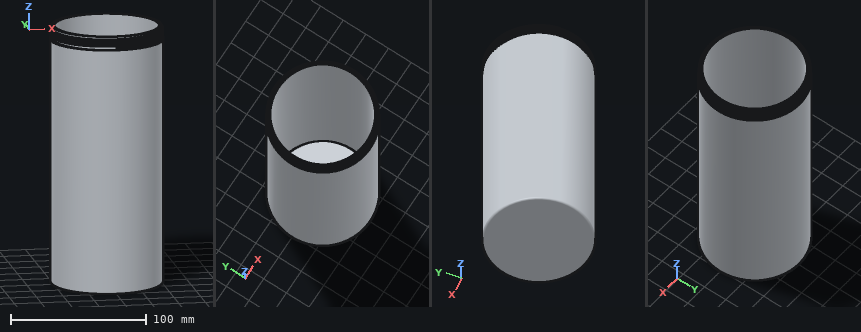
import cadquery as cq

height = 195.0
body_diameter = 84.0
bore_diameter = 77.6
bottom_round = 1.5
body_radius = body_diameter / 2
bore_radius = bore_diameter / 2
floor_thickness = body_radius - bore_radius

neck_height = 10.0
neck_radius = 40.4
shoulder_z = height - neck_height

thread_turns = 3.75
thread_rise = 7.8
thread_pitch = thread_rise / thread_turns
thread_start_z = shoulder_z + 1.2
thread_start_angle = -90
thread_crest_radius = 41.5
thread_root_width = 1.4
thread_crest_width = 0.4
thread_overlap = 0.2


def make_cup():
    """Solid cylinder with a rounded foot and a neck, hollowed from the top."""
    body = cq.Workplane("XY").circle(body_radius).extrude(shoulder_z)
    body = body.faces("<Z").edges().fillet(bottom_round)
    neck = cq.Workplane("XY").workplane(offset=shoulder_z).circle(neck_radius).extrude(neck_height)
    bore = (
        cq.Workplane("XY")
        .workplane(offset=floor_thickness)
        .circle(bore_radius)
        .extrude(height - floor_thickness)
    )
    return body.union(neck).cut(bore)


def make_thread():
    """Trapezoidal ridge swept along a helix, blunt at both ends."""
    root_radius = neck_radius - thread_overlap
    helix = cq.Wire.makeHelix(thread_pitch, thread_rise, root_radius)
    ridge = (
        cq.Workplane("XZ")
        .polyline(
            [
                (root_radius, -thread_root_width / 2),
                (thread_crest_radius, -thread_crest_width / 2),
                (thread_crest_radius, thread_crest_width / 2),
                (root_radius, thread_root_width / 2),
            ]
        )
        .close()
        .sweep(cq.Workplane(obj=helix), isFrenet=True)
    )
    return ridge.rotate((0, 0, 0), (0, 0, 1), thread_start_angle).translate((0, 0, thread_start_z))


result = make_cup().union(make_thread())